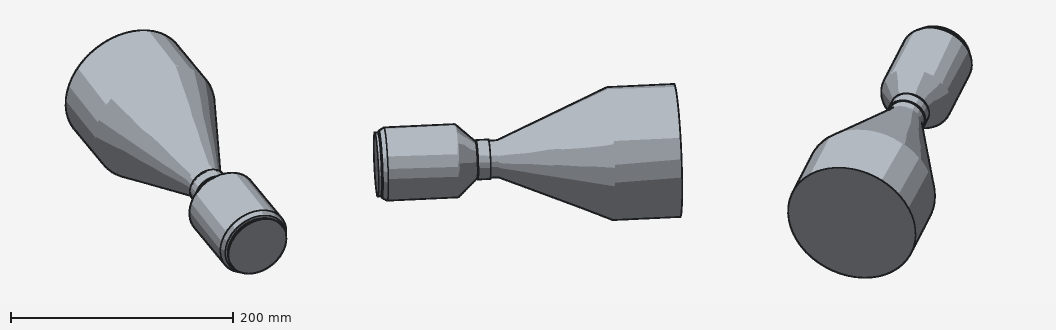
import cadquery as cq

TOTAL_LENGTH = 271.5
HEAD_END = 60.5
NECK_START = 162.0
COLLAR_START = 169.5
COLLAR_END = 180.5
FLARE_START = 181.5
BARREL_START = 199.0
BARREL_END = 263.2
BEVEL_END = 267.8
GROOVE_BOTTOM = 269.0
LIP_START = 271.0

HEAD_RADIUS = 60.0
NECK_RADIUS = 16.8
COLLAR_RADIUS = 18.0
BARREL_RADIUS = 33.0
BEVEL_RADIUS = 30.5
GROOVE_RADIUS = 28.5
LIP_RADIUS = 29.0

SHOULDER_BLEND = 2.2
NECK_BLEND = 2.2
BARREL_BLEND = 2.2


def revolved_body():
    """Solid of revolution about X: head, cone, neck, collar, barrel and end lip."""
    profile = [
        (0, 0),
        (0, HEAD_RADIUS),
        (HEAD_END, HEAD_RADIUS),
        (NECK_START, NECK_RADIUS),
        (COLLAR_START, NECK_RADIUS),
        (COLLAR_START, COLLAR_RADIUS),
        (COLLAR_END, COLLAR_RADIUS),
        (COLLAR_END, NECK_RADIUS),
        (FLARE_START, NECK_RADIUS),
        (BARREL_START, BARREL_RADIUS),
        (BARREL_END, BARREL_RADIUS),
        (BEVEL_END, BEVEL_RADIUS),
        (GROOVE_BOTTOM, GROOVE_RADIUS),
        (LIP_START, LIP_RADIUS),
        (TOTAL_LENGTH, LIP_RADIUS),
        (TOTAL_LENGTH, 0),
    ]
    return cq.Workplane("XZ").polyline(profile).close().revolve(360, (0, 0, 0), (1, 0, 0))


def blend_ring(body, station, body_radius, blend_radius):
    """Round the circular edge at the given X station."""
    margin = 0.14
    reach = body_radius + margin
    ring = cq.selectors.BoxSelector(
        (station - margin, -reach, -reach),
        (station + margin, reach, reach),
        boundingbox=True,
    )
    return body.edges(ring).fillet(blend_radius)


result = revolved_body()
result = blend_ring(result, HEAD_END, HEAD_RADIUS, SHOULDER_BLEND)
result = blend_ring(result, NECK_START, NECK_RADIUS, NECK_BLEND)
result = blend_ring(result, BARREL_START, BARREL_RADIUS, BARREL_BLEND)